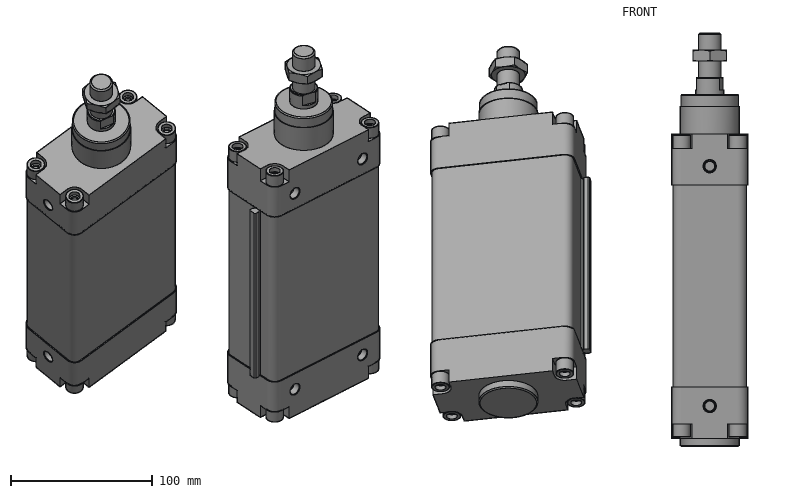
import cadquery as cq
import math

total_height = 293.0

cap_width = 54.0
cap_depth = 104.0
cap_height = 36.3
cap_corner_radius = 14.5 / 2
tube_corner_radius = 12.0 / 2
tube_inset = 1.0
bottom_boss_height = 6.0
cap_top_z = 221.5
cap_bottom_z = bottom_boss_height
tube_bottom_z = cap_bottom_z + cap_height
tube_height = cap_top_z - cap_height - tube_bottom_z

boss_diameter = 42.0
top_boss_z = 249.5
boss_band_height = 8.5
boss_band_diameter = 41.0
boss_chamfer = 1.0

screw_spacing_x = 39.8
screw_spacing_y = 90.0
pocket_radius = 15.0 / 2
pocket_depth = 10.3
head_diameter = 12.5
head_chamfer = 0.3
screw_x = screw_spacing_x / 2
screw_y = screw_spacing_y / 2
head_recess = 1.0
socket_diameter = 7.5
socket_depth = 3.5
socket_drill_diameter = 5.0
socket_drill_depth = 5.3
drill_tip_angle = 118.0

port_diameter = 8.5
port_mouth_diameter = 9.5
port_depth = 8.8
port_inner_diameter = 7.0
port_inner_depth = 17.5
port_from_end = 23.0
mount_hole_y = 32.0
mount_hole_depth = 6.0

rail_width = 6.2
rail_center_x = -9.7
rail_tip_y = cap_depth / 2 + 5.3
rail_chamfer = 1.0
rail_head_depth = 3.8

rod_diameter = 20.0
thread_diameter = 16.0
rod_shoulder_z = 261.5
rod_shoulder_chamfer = 0.5
rod_tip_chamfer = 1.2
flat_width = 17.0
flat_bottom_z = 252.5
flat_angle = -15.0

nut_across_flats = 24.0
nut_height = 8.0
nut_bottom_z = 273.0
nut_chamfer_angle = 20.0
nut_turn = 30.0


def rounded_block(width, depth, height, corner_radius, bottom_z):
    block = cq.Workplane("XY").box(width, depth, height, centered=(True, True, False))
    return block.edges("|Z").fillet(corner_radius).translate((0, 0, bottom_z))


def cylinder(diameter, height, bottom_z):
    return cq.Workplane("XY").workplane(offset=bottom_z).circle(diameter / 2).extrude(height)


def turned(outline):
    """Solid of revolution about Z from (radius, z) points."""
    return cq.Workplane("XZ").polyline(outline).close().revolve(360, (0, 0, 0), (0, 1, 0))


def drilled_hole(diameter, depth):
    """Cutter with its mouth at the origin, going toward -Z, with a conical bottom."""
    radius = diameter / 2
    tip = depth + radius / math.tan(math.radians(drill_tip_angle / 2))
    return turned([(0, 0), (radius, 0), (radius, -depth), (0, -tip)])


def hole_mouth():
    """45 degree countersink that widens a port or mounting hole at its mouth."""
    tip = port_mouth_diameter / 2
    return turned([(0, 0), (tip, 0), (0, -tip)])


def mount_hole_cutter():
    return drilled_hole(port_diameter, mount_hole_depth).union(hole_mouth())


def port_cutter():
    """Stepped port cutter with its mouth at the origin, going toward -Z."""
    port = cylinder(port_diameter, port_depth, -port_depth).union(hole_mouth())
    return port.union(cylinder(port_inner_diameter, port_inner_depth, -port_inner_depth))


def screw_pocket():
    """Top right corner pocket, open to both sides, cut down from Z = 0."""
    reach = cap_corner_radius + pocket_radius
    pocket = (
        cq.Workplane("XY")
        .box(reach + pocket_radius, reach + pocket_radius, pocket_depth, centered=False)
        .edges("|Z and <X and <Y").fillet(pocket_radius)
    )
    return pocket.translate((-pocket_radius, -pocket_radius, -pocket_depth))


def screw_head():
    """Socket screw head standing on the floor of a pocket."""
    head_height = pocket_depth - head_recess
    head = cylinder(head_diameter, head_height, -pocket_depth).faces(">Z").chamfer(head_chamfer)
    head = head.cut(cylinder(socket_diameter, socket_depth, -head_recess - socket_depth))
    drill = drilled_hole(socket_drill_diameter, socket_drill_depth)
    return head.cut(drill.translate((0, 0, -head_recess)))


def make_cap():
    """Top cap with its end face at Z = 0."""
    cap = rounded_block(cap_width, cap_depth, cap_height, cap_corner_radius, -cap_height)
    pocket = screw_pocket().translate((screw_x, screw_y, 0))
    head = screw_head()
    for mirror_x in (False, True):
        for mirror_y in (False, True):
            cutter = pocket
            if mirror_x:
                cutter = cutter.mirror("YZ")
            if mirror_y:
                cutter = cutter.mirror("XZ")
            x = -screw_x if mirror_x else screw_x
            y = -screw_y if mirror_y else screw_y
            cap = cap.cut(cutter).union(head.translate((x, y, 0)))

    port = port_cutter().rotate((0, 0, 0), (1, 0, 0), 90)
    cap = cap.cut(port.translate((0, -cap_depth / 2, -port_from_end)))

    mount_hole = mount_hole_cutter().rotate((0, 0, 0), (0, 1, 0), -90)
    for y in (-mount_hole_y, mount_hole_y):
        cap = cap.cut(mount_hole.translate((-cap_width / 2, y, -port_from_end)))
    return cap


def make_rail():
    """Rail with a chamfered tip and a narrower neck; its root lies inside the tube."""
    half_width = rail_width / 2
    half_neck = half_width - rail_chamfer
    undercut_y = rail_tip_y - rail_head_depth
    neck_y = undercut_y - rail_chamfer
    root_y = cap_depth / 2 - cap_corner_radius
    right_side = [
        (half_neck, root_y),
        (half_neck, neck_y),
        (half_width, undercut_y),
        (half_width, rail_tip_y - rail_chamfer),
        (half_width - rail_chamfer, rail_tip_y),
    ]
    left_side = [(-x, y) for x, y in reversed(right_side)]
    rail = cq.Workplane("XY").polyline(right_side + left_side).close().extrude(tube_height)
    return rail.translate((rail_center_x, 0, tube_bottom_z))


def make_tube():
    tube = rounded_block(
        cap_width - 2 * tube_inset,
        cap_depth - 2 * tube_inset,
        tube_height,
        tube_corner_radius,
        tube_bottom_z,
    )
    return tube.union(make_rail())


def make_top_boss():
    band_bottom_z = top_boss_z - boss_band_height
    boss = cylinder(boss_diameter, band_bottom_z - cap_top_z, cap_top_z)
    band = cylinder(boss_band_diameter, boss_band_height, band_bottom_z)
    return boss.union(band.faces(">Z").chamfer(boss_chamfer))


def make_housing():
    cap = make_cap()
    top_cap = cap.translate((0, 0, cap_top_z))
    bottom_cap = cap.mirror("XY").translate((0, 0, cap_bottom_z))
    bottom_boss = cylinder(boss_diameter, bottom_boss_height, 0).faces("<Z").chamfer(boss_chamfer)
    housing = make_tube().union(top_cap).union(bottom_cap)
    return housing.union(bottom_boss).union(make_top_boss())


def make_rod():
    rod = cylinder(rod_diameter, rod_shoulder_z - top_boss_z, top_boss_z)
    rod = rod.faces(">Z").chamfer(rod_shoulder_chamfer)
    flats = (
        cq.Workplane("XY")
        .box(flat_width, rod_diameter, total_height, centered=(True, True, False))
        .rotate((0, 0, 0), (0, 0, 1), flat_angle)
    )
    below_flats = cylinder(rod_diameter, flat_bottom_z - top_boss_z, top_boss_z)
    rod = rod.intersect(flats).union(below_flats)
    thread = cylinder(thread_diameter, total_height - rod_shoulder_z, rod_shoulder_z)
    return rod.union(thread.faces(">Z").chamfer(rod_tip_chamfer))


def make_nut():
    corner_radius = nut_across_flats / math.sqrt(3)
    flat_radius = nut_across_flats / 2
    chamfer_drop = (corner_radius - flat_radius) * math.tan(math.radians(nut_chamfer_angle))
    hexagon = (
        cq.Workplane("XY")
        .polygon(6, 2 * corner_radius).extrude(nut_height)
        .rotate((0, 0, 0), (0, 0, 1), nut_turn)
    )
    envelope_outline = [
        (0, 0),
        (flat_radius, 0),
        (corner_radius, chamfer_drop),
        (corner_radius, nut_height - chamfer_drop),
        (flat_radius, nut_height),
        (0, nut_height),
    ]
    envelope = turned(envelope_outline)
    bore = cylinder(thread_diameter, nut_height, 0)
    return hexagon.intersect(envelope).cut(bore).translate((0, 0, nut_bottom_z))


housing = make_housing()
rod = make_rod()
nut = make_nut()

result = cq.Compound.makeCompound([housing.val(), rod.val(), nut.val()])